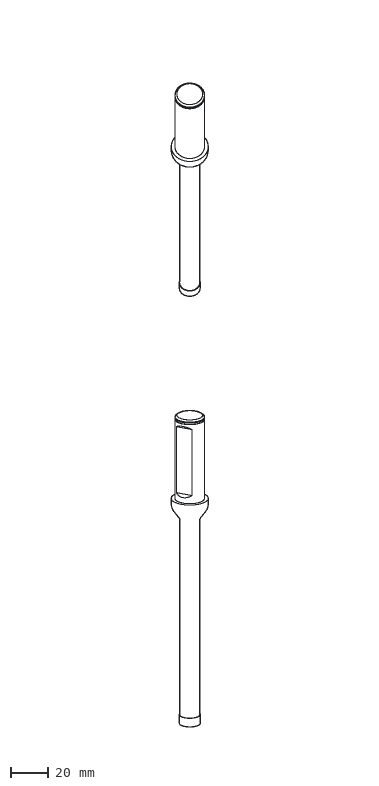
import cadquery as cq
import math

total_length = 180.0
head_joint_z = 6.8
head_shoulder_z = 1.8
stem_top_z = 119.2
collar_lower_z = 128.3
collar_top_z = 132.0

head_radius = 11.3 / 2
stem_radius = 10.8 / 2
collar_radius = 20.0 / 2
shank_radius = 16.0 / 2

chamfer_width = 1.0
chamfer_height = 0.9
groove_top_z = 178.5
groove_bottom_z = 177.7
groove_depth = 0.2
flat_depth = 1.53
flat_bottom_z = 136.6
flat_top_z = 174.8

cone_half_angle = math.radians(36)
lower_blend_radius = 3.6
cone_rise = (collar_radius - stem_radius) / math.tan(cone_half_angle)
lower_tangent_length = lower_blend_radius * math.tan(cone_half_angle / 2)
lower_corner_z = stem_top_z + lower_tangent_length
upper_corner_z = lower_corner_z + cone_rise
upper_tangent_length = collar_lower_z - upper_corner_z
cone_start = (
    stem_radius + lower_tangent_length * math.sin(cone_half_angle),
    lower_corner_z + lower_tangent_length * math.cos(cone_half_angle),
)
cone_end = (
    collar_radius - upper_tangent_length * math.sin(cone_half_angle),
    upper_corner_z - upper_tangent_length * math.cos(cone_half_angle),
)


def make_holder():
    """Stem, flared collar and shank turned about Z, with a clamping flat."""
    turned = (
        cq.Workplane("XZ")
        .moveTo(0, head_joint_z)
        .lineTo(stem_radius, head_joint_z)
        .lineTo(stem_radius, stem_top_z)
        .tangentArcPoint(cone_start, relative=False)
        .lineTo(*cone_end)
        .tangentArcPoint((collar_radius, collar_lower_z), relative=False)
        .lineTo(collar_radius, collar_top_z)
        .lineTo(shank_radius, collar_top_z)
        .lineTo(shank_radius, total_length - chamfer_height)
        .lineTo(shank_radius - chamfer_width, total_length)
        .lineTo(0, total_length)
        .close()
        .revolve(360, (0, 0, 0), (0, 1, 0))
    )
    return turned.cut(make_groove_cutter()).cut(make_flat_cutter())


def make_groove_cutter():
    """Ring for the shallow groove just below the top chamfer."""
    return (
        cq.Workplane("XY", origin=(0, 0, groove_bottom_z))
        .circle(collar_radius)
        .circle(shank_radius - groove_depth)
        .extrude(groove_top_z - groove_bottom_z)
    )


def make_flat_cutter():
    """Prism for the flat on the +Y side, with ends sloping outward at 45 degrees."""
    floor_y = shank_radius - flat_depth
    outline = [
        (floor_y, flat_bottom_z),
        (shank_radius, flat_bottom_z - flat_depth),
        (collar_radius, flat_bottom_z - flat_depth),
        (collar_radius, flat_top_z + flat_depth),
        (shank_radius, flat_top_z + flat_depth),
        (floor_y, flat_top_z),
    ]
    return cq.Workplane("YZ").polyline(outline).close().extrude(collar_radius, both=True)


def make_cutting_head():
    """Short cylinder with a shallow conical point, seated on the stem end."""
    outline = [
        (0, 0),
        (head_radius, head_shoulder_z),
        (head_radius, head_joint_z),
        (0, head_joint_z),
    ]
    return cq.Workplane("XZ").polyline(outline).close().revolve(360, (0, 0, 0), (0, 1, 0))


holder = make_holder()
cutting_head = make_cutting_head()

result = cq.Compound.makeCompound([holder.val(), cutting_head.val()])